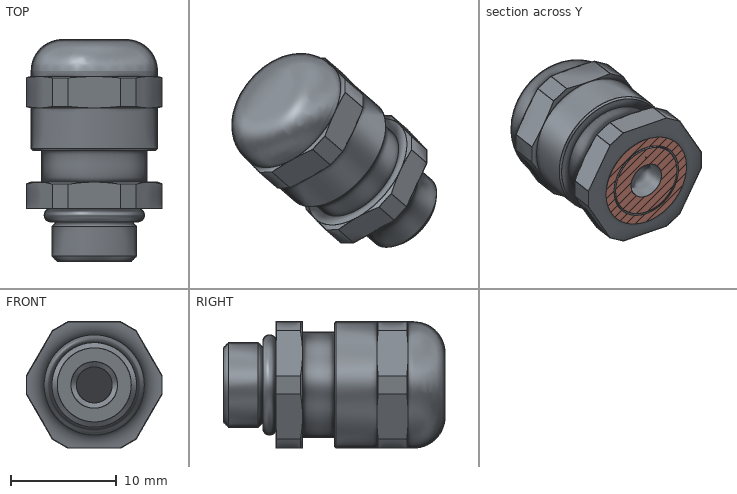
import cadquery as cq
import math

LENGTH = 21.0

ACROSS_FLATS = 12.0
ACROSS_CUT_CORNERS = 12.85
NUT_CHAMFER_ANGLE = 22.0
CAP_CHAMFER_ANGLE = 15.0
NUT_START = 5.0
NUT_END = 7.5
CAP_HEX_START = 14.53
CAP_HEX_END = 17.5

THREAD_RADIUS = 4.01
THREAD_CHAMFER = 0.5
THREAD_END = 3.3
NECK_RADIUS = 3.5

RING_OUTER_RADIUS = 4.75
RING_SECTION_RADIUS = 0.63

BODY_RADIUS = 5.0

CAP_RADIUS = 5.98
CAP_START = 10.5
CAP_RIM_CHAMFER = 0.17
DOME_RADIUS = 3.0

BORE_RADIUS = 1.7
BORE_CHAMFER = 0.5
BORE_DEPTH = CAP_START


def revolve_about_y(profile):
    return profile.close().revolve(360, (0, 0, 0), (0, 1, 0))


def turned_body():
    """Thread, neck, plain body and domed cap as one turned shape."""
    neck_start = THREAD_END + THREAD_RADIUS - NECK_RADIUS
    dome_start = LENGTH - DOME_RADIUS
    dome_mid_offset = DOME_RADIUS * math.sin(math.radians(45))
    flat_radius = CAP_RADIUS - DOME_RADIUS
    profile = (
        cq.Workplane("XY")
        .moveTo(0, 0)
        .lineTo(THREAD_RADIUS - THREAD_CHAMFER, 0)
        .lineTo(THREAD_RADIUS, THREAD_CHAMFER)
        .lineTo(THREAD_RADIUS, THREAD_END)
        .lineTo(NECK_RADIUS, neck_start)
        .lineTo(NECK_RADIUS, NUT_START)
        .lineTo(BODY_RADIUS, NUT_START)
        .lineTo(BODY_RADIUS, CAP_START)
        .lineTo(CAP_RADIUS - CAP_RIM_CHAMFER, CAP_START)
        .lineTo(CAP_RADIUS, CAP_START + CAP_RIM_CHAMFER)
        .lineTo(CAP_RADIUS, dome_start)
        .threePointArc(
            (flat_radius + dome_mid_offset, dome_start + dome_mid_offset),
            (flat_radius, LENGTH),
        )
        .lineTo(0, LENGTH)
    )
    return revolve_about_y(profile)


def hex_prism(across_flats, start, end, turn):
    """Hexagonal prism along Y; without a turn it has flats facing X."""
    return (
        cq.Workplane("XZ", origin=(0, start, 0))
        .polygon(6, across_flats, circumscribed=True)
        .extrude(start - end)
        .rotate((0, 0, 0), (0, 1, 0), turn)
    )


def cut_corner_hex(start, end, chamfer_angle, chamfer_start):
    """Hexagon with flat-cut corners, cone-chamfered at its end and optionally its start."""
    hexagon = hex_prism(ACROSS_FLATS, start, end, turn=30)
    corner_cutter = hex_prism(ACROSS_CUT_CORNERS, start, end, turn=0)

    flat_radius = ACROSS_FLATS / 2
    outer_radius = ACROSS_FLATS / math.sqrt(3)
    drop = (outer_radius - flat_radius) * math.tan(math.radians(chamfer_angle))
    profile = cq.Workplane("XY").moveTo(0, start)
    if chamfer_start:
        profile = profile.lineTo(flat_radius, start).lineTo(outer_radius, start + drop)
    else:
        profile = profile.lineTo(outer_radius, start)
    profile = profile.lineTo(outer_radius, end - drop).lineTo(flat_radius, end).lineTo(0, end)
    return hexagon.intersect(corner_cutter).intersect(revolve_about_y(profile))


def sealing_ring():
    centre_radius = RING_OUTER_RADIUS - RING_SECTION_RADIUS
    return (
        cq.Workplane("XY")
        .center(centre_radius, NUT_START - RING_SECTION_RADIUS)
        .circle(RING_SECTION_RADIUS)
        .revolve(360, (-centre_radius, 0, 0), (-centre_radius, 1, 0))
    )


def cable_bore():
    profile = (
        cq.Workplane("XY")
        .moveTo(0, 0)
        .lineTo(BORE_RADIUS + BORE_CHAMFER, 0)
        .lineTo(BORE_RADIUS, BORE_CHAMFER)
        .lineTo(BORE_RADIUS, BORE_DEPTH)
        .lineTo(0, BORE_DEPTH)
    )
    return revolve_about_y(profile)


result = (
    turned_body()
    .union(cut_corner_hex(NUT_START, NUT_END, NUT_CHAMFER_ANGLE, chamfer_start=False))
    .union(cut_corner_hex(CAP_HEX_START, CAP_HEX_END, CAP_CHAMFER_ANGLE, chamfer_start=True))
    .union(sealing_ring())
    .cut(cable_bore())
)